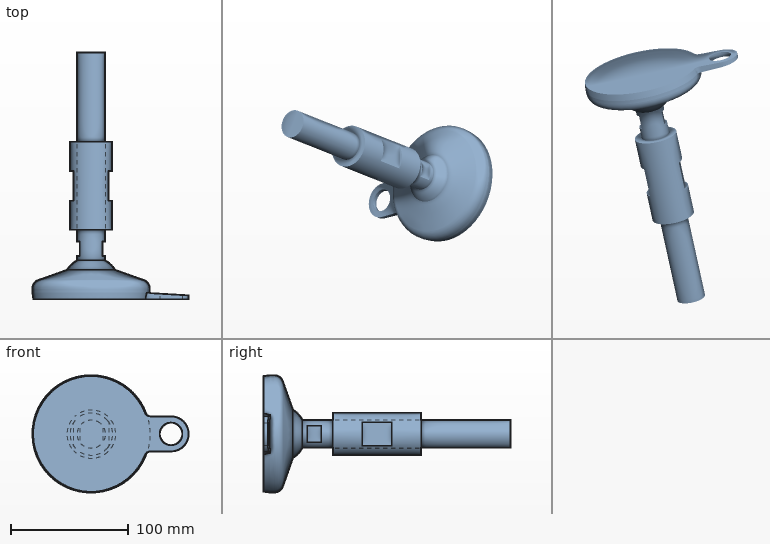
import cadquery as cq
import math


pad_radius = 50.0
sole_radius = 49.2
draft_height = 5.7
rim_height = 9.0
shoulder_radius = 8.0
cone_angle = math.radians(19.5)
cone_top = 24.0

ball_radius = 24.5
ball_center = 11.8
dome_radius = 20.6

lug_radius = 15.0
lug_reach = 68.0
lug_hole_diameter = 19.0
lug_tip_thickness = 3.5
lug_root_fillet = 5.5

spindle_radius = 12.0
spindle_end = 210.0
spindle_flat_start = 37.0
spindle_flat_length = 12.0
spindle_across_flats = 19.5

sleeve_radius = 18.0
sleeve_start = 59.0
sleeve_length = 75.0
sleeve_flat_length = 25.0
sleeve_across_flats = 30.0


def rod(radius, start, end):
    """Cylinder along Y between two heights above the sole."""
    return cq.Workplane("XZ", origin=(0, start, 0)).circle(radius).extrude(start - end)


def cut_flats(body, radius, across, start, length):
    """Cut two opposite wrench flats facing -X and +X."""
    depth = radius - across / 2
    for side in (-1, 1):
        center = (side * (across / 2 + depth / 2), start + length / 2, 0)
        body = body.cut(cq.Workplane(origin=center).box(depth, length, 2 * radius))
    return body


def shoulder_point(angle):
    """Height and radius of a point on the rounded shoulder, the angle measured from the rim."""
    height = rim_height + shoulder_radius * math.sin(angle)
    radius = pad_radius - shoulder_radius * (1 - math.cos(angle))
    return (height, radius)


def dome_point(radius):
    """Height and radius of a point on the ball-shaped dome."""
    return (ball_center + math.sqrt(ball_radius**2 - radius**2), radius)


def make_turned_foot():
    """Pad, dome and spindle as one turned shape about Y."""
    shoulder_sweep = math.pi / 2 - cone_angle
    shoulder_end_height, shoulder_end_radius = shoulder_point(shoulder_sweep)
    cone_top_radius = shoulder_end_radius - (cone_top - shoulder_end_height) / math.tan(cone_angle)
    return (
        cq.Workplane("YZ")
        .lineTo(0, sole_radius)
        .lineTo(draft_height, pad_radius)
        .lineTo(rim_height, pad_radius)
        .threePointArc(shoulder_point(shoulder_sweep / 2), shoulder_point(shoulder_sweep))
        .lineTo(cone_top, cone_top_radius)
        .lineTo(*dome_point(dome_radius))
        .threePointArc(dome_point((dome_radius + spindle_radius) / 2), dome_point(spindle_radius))
        .lineTo(spindle_end, spindle_radius)
        .lineTo(spindle_end, 0)
        .close()
        .revolve(360, (0, 0, 0), (1, 0, 0))
    )


def make_lug():
    """Lug on the +X side: a rounded tab with filleted roots and a top sloping down to its tip."""
    fillet_z = lug_radius + lug_root_fillet
    fillet_x = math.sqrt((sole_radius + lug_root_fillet) ** 2 - fillet_z**2)
    root_scale = sole_radius / (sole_radius + lug_root_fillet)
    root_x = fillet_x * root_scale
    root_z = fillet_z * root_scale
    lean = (math.atan2(fillet_z, fillet_x) - math.pi / 2) / 2
    mid_x = fillet_x + lug_root_fillet * math.sin(lean)
    mid_z = fillet_z - lug_root_fillet * math.cos(lean)
    tip_x = lug_reach + lug_radius
    outline = (
        cq.Workplane("XZ")
        .moveTo(0, root_z)
        .lineTo(root_x, root_z)
        .threePointArc((mid_x, mid_z), (fillet_x, lug_radius))
        .lineTo(lug_reach, lug_radius)
        .threePointArc((tip_x, 0), (lug_reach, -lug_radius))
        .lineTo(fillet_x, -lug_radius)
        .threePointArc((mid_x, -mid_z), (root_x, -root_z))
        .lineTo(0, -root_z)
        .close()
        .extrude(-draft_height)
    )
    side_profile = (
        cq.Workplane("XY")
        .lineTo(tip_x, 0)
        .lineTo(tip_x, lug_tip_thickness)
        .lineTo(root_x, draft_height)
        .lineTo(0, draft_height)
        .close()
        .extrude(fillet_z, both=True)
    )
    hole = cq.Workplane("XZ").center(lug_reach, 0).circle(lug_hole_diameter / 2).extrude(-draft_height)
    return outline.intersect(side_profile).cut(hole)


def make_foot():
    """Levelling foot: the turned pad and spindle with the lug and wrench flats."""
    blank = make_turned_foot().union(make_lug())
    return cut_flats(blank, spindle_radius, spindle_across_flats, spindle_flat_start, spindle_flat_length)


def make_sleeve():
    """Sleeve around the spindle with a pair of wrench flats at mid length."""
    sleeve_end = sleeve_start + sleeve_length
    flat_start = sleeve_start + (sleeve_length - sleeve_flat_length) / 2
    blank = rod(sleeve_radius, sleeve_start, sleeve_end)
    bored = blank.cut(rod(spindle_radius, sleeve_start, sleeve_end))
    return cut_flats(bored, sleeve_radius, sleeve_across_flats, flat_start, sleeve_flat_length)


foot = make_foot()
sleeve = make_sleeve()
result = cq.Compound.makeCompound([foot.val(), sleeve.val()])